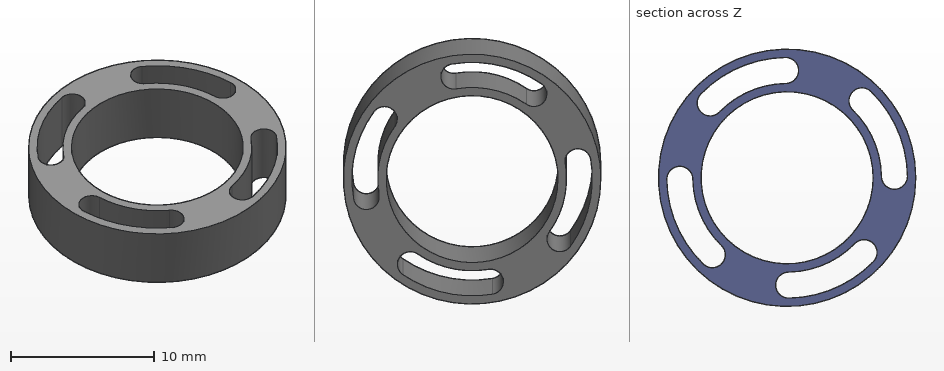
import cadquery as cq
import math

outer_diameter = 18.0
bore_diameter = 12.0
height = 4.6

slot_count = 4
slot_width = 1.8
slot_center_radius = (outer_diameter + bore_diameter) / 4
slot_start_angle = 0.8
slot_sweep = 45.0


def polar_point(radius, angle):
    """Point at a radius and an angle in degrees, measured from +X."""
    return (
        radius * math.cos(math.radians(angle)),
        radius * math.sin(math.radians(angle)),
    )


def curved_slot(start_angle):
    """Slot following a circular arc, with a round cap at each end."""
    inner_radius = slot_center_radius - slot_width / 2
    outer_radius = slot_center_radius + slot_width / 2
    middle_angle = start_angle + slot_sweep / 2
    end_angle = start_angle + slot_sweep
    cap_angle = 2 * math.degrees(math.asin(slot_width / (4 * slot_center_radius)))
    start_tip = polar_point(slot_center_radius, start_angle - cap_angle)
    end_tip = polar_point(slot_center_radius, end_angle + cap_angle)
    return (
        cq.Workplane("XY")
        .moveTo(*polar_point(inner_radius, start_angle))
        .threePointArc(
            polar_point(inner_radius, middle_angle),
            polar_point(inner_radius, end_angle),
        )
        .threePointArc(end_tip, polar_point(outer_radius, end_angle))
        .threePointArc(
            polar_point(outer_radius, middle_angle),
            polar_point(outer_radius, start_angle),
        )
        .threePointArc(start_tip, polar_point(inner_radius, start_angle))
        .close()
        .extrude(height)
    )


ring = (
    cq.Workplane("XY")
    .circle(outer_diameter / 2)
    .circle(bore_diameter / 2)
    .extrude(height)
)

for index in range(slot_count):
    ring = ring.cut(curved_slot(slot_start_angle + index * 360 / slot_count))

result = ring